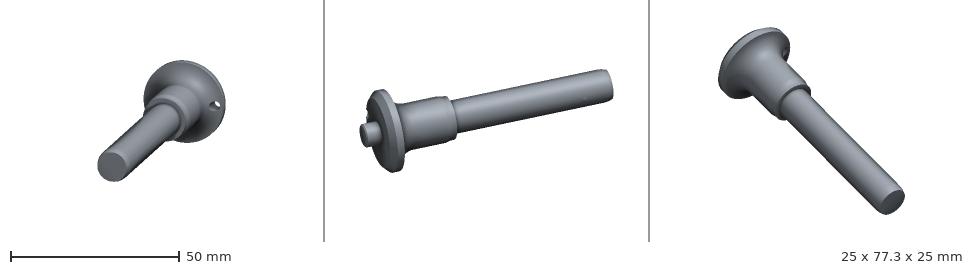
import cadquery as cq
import math

LENGTH = 77.3

SHANK_RADIUS = 5.0
SHANK_LENGTH = 50.0
TIP_RADIUS = 4.55
TIP_LENGTH = 2.4

BALL_RADIUS = 2.5
BALL_PROTRUSION = 0.115
BALL_Y = 9.2

COLLAR_RADIUS = 6.65
COLLAR_LENGTH = 1.15
NECK_RADIUS = 7.0
NECK_TAPER_LENGTH = 1.6
FLANGE_DIAMETER = 25.0
FLANGE_RIM_WIDTH = 2.2
FLANGE_CHAMFER = 1.85

BUTTON_RADIUS = 3.55
BUTTON_LENGTH = 4.7
BUTTON_CHAMFER = 0.4

HOLE_DIAMETER = 3.0
HOLE_X = 10.0

flange_radius = FLANGE_DIAMETER / 2
collar_end = SHANK_LENGTH + COLLAR_LENGTH
neck_start = collar_end + NECK_TAPER_LENGTH
flange_back = LENGTH - BUTTON_LENGTH
rim_back = flange_back - FLANGE_CHAMFER
rim_front = rim_back - FLANGE_RIM_WIDTH
flare_radius = flange_radius - NECK_RADIUS
flare_start = rim_front - flare_radius
flare_mid = (
    flange_radius - flare_radius * math.cos(math.pi / 4),
    flare_start + flare_radius * math.sin(math.pi / 4),
)

tip_depth = SHANK_RADIUS - TIP_RADIUS
tip_arc_radius = (TIP_LENGTH**2 + tip_depth**2) / (2 * tip_depth)
tip_half_angle = math.asin(TIP_LENGTH / tip_arc_radius) / 2
tip_mid = (
    SHANK_RADIUS - tip_arc_radius * (1 - math.cos(tip_half_angle)),
    TIP_LENGTH - tip_arc_radius * math.sin(tip_half_angle),
)


def make_body():
    """Revolve the half profile (radius, y) of the whole pin about the Y axis."""
    profile = (
        cq.Workplane("XY")
        .moveTo(0, 0)
        .lineTo(TIP_RADIUS, 0)
        .threePointArc(tip_mid, (SHANK_RADIUS, TIP_LENGTH))
        .lineTo(SHANK_RADIUS, SHANK_LENGTH)
        .lineTo(COLLAR_RADIUS, SHANK_LENGTH)
        .lineTo(COLLAR_RADIUS, collar_end)
        .lineTo(NECK_RADIUS, neck_start)
        .lineTo(NECK_RADIUS, flare_start)
        .threePointArc(flare_mid, (flange_radius, rim_front))
        .lineTo(flange_radius, rim_back)
        .lineTo(flange_radius - FLANGE_CHAMFER, flange_back)
        .lineTo(BUTTON_RADIUS, flange_back)
        .lineTo(BUTTON_RADIUS, LENGTH - BUTTON_CHAMFER)
        .lineTo(BUTTON_RADIUS - BUTTON_CHAMFER, LENGTH)
        .lineTo(0, LENGTH)
        .close()
    )
    return profile.revolve(360, (0, 0, 0), (0, 1, 0))


def make_ball(side):
    """Locking ball standing slightly proud of the shank; side is -1 or +1."""
    center_x = side * (SHANK_RADIUS + BALL_PROTRUSION - BALL_RADIUS)
    return cq.Workplane("XY").sphere(BALL_RADIUS).translate((center_x, BALL_Y, 0))


def make_lanyard_hole():
    """Cutter parallel to the pin axis, from the flare start to the flange back."""
    return (
        cq.Workplane("XZ", origin=(HOLE_X, flange_back, 0))
        .circle(HOLE_DIAMETER / 2)
        .extrude(flange_back - flare_start)
    )


result = make_body()
for ball_side in (-1, 1):
    result = result.union(make_ball(ball_side))
result = result.cut(make_lanyard_hole())